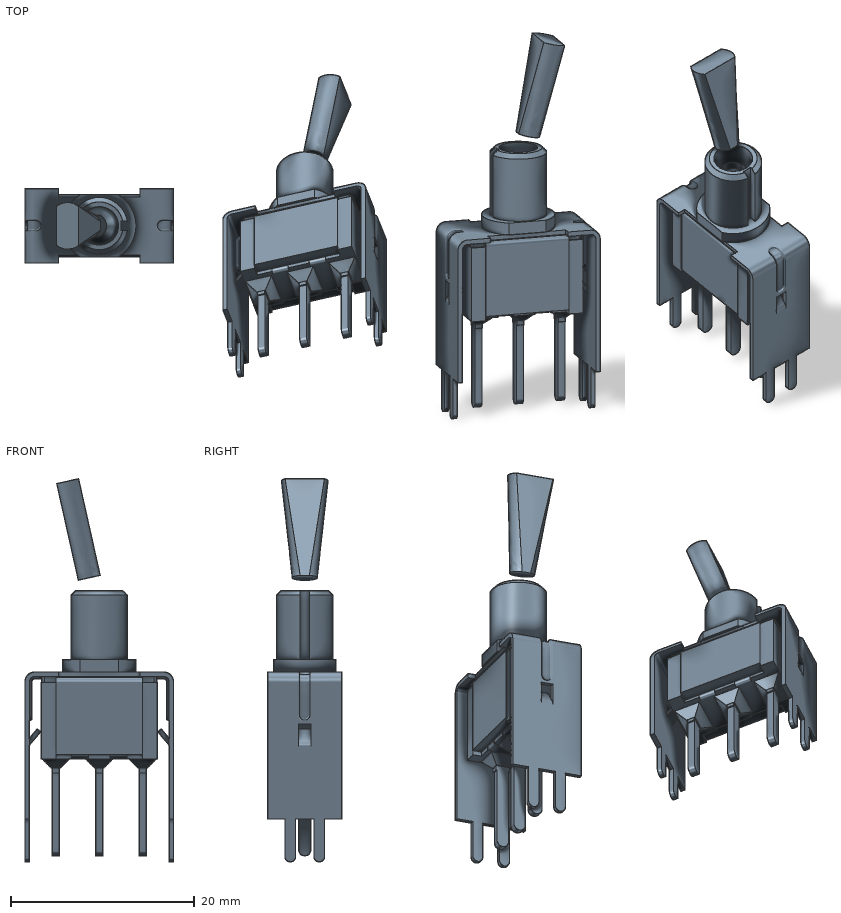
import cadquery as cq
import math


bracket_length = 16.26
bracket_width = 8.13
sheet = 0.5
bend_radius = 1.1
leg_bottom = -16.1
notch_length = 8.9
bridge_width = 6.35

solder_leg_width = 1.2
solder_leg_pitch = 3.17
solder_leg_bottom = -20.77

bead_depth = 0.27
bead_width = 1.14
bead_bottom = -5.28
bead_reach = 1.78
bead_edge_round = 0.13

tang_width = 1.35
window_top = -5.69
tang_bend_bottom = -8.09
tang_angle = math.radians(40)
tang_inner_radius = 0.2
tang_length = 1.85

case_length = 12.7
case_bottom = -9.5
case_shoulder = -1.16
case_width = 6.7
panel_length = 9.5
panel_width = 6.86
panel_bottom = -9.0
panel_round = 0.65
cap_length = 12.6
cap_width = 6.2
cap_chamfer = 0.3
base_recess_depth = 1.0
base_round_start = 1.2
base_round_end = 3.05
base_edge_radius = 0.45

terminal_pitch = 4.75
terminal_thickness = 0.8
terminal_width = 1.35
terminal_bottom = -20.1
collar_width = 1.6
collar_bottom = -11.03
seal_bottom = -10.5
seal_thickness = 1.0
seal_flare = 1.0

flange_diameter = 8.0
flange_width = 6.8
flange_height = 1.35
bushing_diameter = 6.22
bushing_top = 8.88
bushing_chamfer = 0.5
bore_diameter = 4.2
keyway_width = 1.0
keyway_floor = 2.35

pivot_height = 5.4
bore_floor_above_pivot = 0.5
socket_diameter = 2.4
socket_floor_above_pivot = 0.9

lever_tilt = 12.6
lever_start = 5.0
lever_length = 10.83
lever_thickness = 2.46
lever_foot_flat = 1.0
lever_foot_width = 2.75
lever_tip_flat = 4.3
lever_tip_width = 5.1


def box(x_min, x_max, width, z_min, z_max):
    """Block centred on Y = 0."""
    size_x = x_max - x_min
    return (
        cq.Workplane("XY", origin=((x_min + x_max) / 2, 0, z_min))
        .rect(size_x, width)
        .extrude(z_max - z_min)
    )


def both_ends(shape):
    """The shape and its mirror image across X = 0."""
    return shape.union(shape.mirror("YZ"))


def bent_block(inset, width):
    """Solid block with the bracket's outer bends, offset inward by inset."""
    half_length = bracket_length / 2 - inset
    block = box(-half_length, half_length, width, leg_bottom, -inset)
    return block.edges("|Y and >Z").fillet(bend_radius - inset)


def bent_layer(outer_inset, inner_inset, width):
    """Sheet between two inward offsets of the bracket's outer surface."""
    return bent_block(outer_inset, width).cut(bent_block(inner_inset, width))


def bead_region():
    """Space that holds the left bead: a slot down the leg joined to a slot along the top."""
    radius = bead_width / 2
    left = -bracket_length / 2
    leg_end = bead_bottom + radius
    top_end = left + bead_reach - radius
    leg_slot = box(left, left + bend_radius, bead_width, leg_end, 0)
    leg_round = cq.Workplane("YZ", origin=(left, 0, leg_end)).circle(radius).extrude(bend_radius)
    top_slot = box(left, top_end, bead_width, -bend_radius, 0)
    top_round = cq.Workplane("XY", origin=(top_end, 0, -bend_radius)).circle(radius).extrude(bend_radius)
    return leg_slot.union(leg_round).union(top_slot).union(top_round)


def make_tang():
    """Left tang: bends inward from the leg at the foot of its window, then runs straight up."""
    outer_radius = tang_inner_radius + sheet
    center_x = -bracket_length / 2 + outer_radius
    along = (math.sin(tang_angle), math.cos(tang_angle))

    def on_bend(radius, angle):
        return (center_x - radius * math.cos(angle), tang_bend_bottom + radius * math.sin(angle))

    def along_tang(point):
        return (point[0] + tang_length * along[0], point[1] + tang_length * along[1])

    outer_bend_end = on_bend(outer_radius, tang_angle)
    inner_bend_end = on_bend(tang_inner_radius, tang_angle)
    return (
        cq.Workplane("XZ", origin=(0, tang_width / 2, 0))
        .moveTo(*on_bend(outer_radius, 0))
        .threePointArc(on_bend(outer_radius, tang_angle / 2), outer_bend_end)
        .lineTo(*along_tang(outer_bend_end))
        .lineTo(*along_tang(inner_bend_end))
        .lineTo(*inner_bend_end)
        .threePointArc(on_bend(tang_inner_radius, tang_angle / 2), on_bend(tang_inner_radius, 0))
        .close()
        .extrude(tang_width)
    )


def make_solder_leg(y):
    """Round-ended solder leg below the left bracket leg."""
    left = -bracket_length / 2
    radius = solder_leg_width / 2
    round_center = solder_leg_bottom + radius
    shank = box(left, left + sheet, solder_leg_width, round_center, leg_bottom)
    tip = cq.Workplane("YZ", origin=(left, 0, round_center)).circle(radius).extrude(sheet)
    return shank.union(tip).translate((0, y, 0))


def make_bracket():
    left = -bracket_length / 2
    body = bent_layer(0, sheet, bracket_width)

    strip = box(-notch_length / 2, notch_length / 2, bracket_width, -sheet, 0)
    bridge = box(-notch_length / 2, notch_length / 2, bridge_width, -sheet, 0)
    body = body.cut(strip.cut(bridge))

    bump = bent_layer(sheet, sheet + bead_depth, bracket_width).intersect(bead_region())
    recess = bent_layer(0, bead_depth, bracket_width).intersect(bead_region())
    body = body.union(both_ends(bump)).cut(both_ends(recess))
    bead_foot_zone = cq.selectors.BoxSelector(
        (-bracket_length, -bead_width, bead_bottom - bead_width),
        (bracket_length, bead_width, bead_bottom + bead_width),
        boundingbox=True,
    )
    body = body.edges("%CIRCLE").edges(bead_foot_zone).fillet(bead_edge_round)

    window = box(left, left + sheet, tang_width, tang_bend_bottom, window_top)
    body = body.cut(both_ends(window)).union(both_ends(make_tang()))

    for side in (-1, 1):
        body = body.union(both_ends(make_solder_leg(side * solder_leg_pitch / 2)))
    return body


def make_case():
    column_block = box(-case_length / 2, case_length / 2, case_width, case_bottom, case_shoulder)
    cap = box(-cap_length / 2, cap_length / 2, cap_width, case_shoulder, -sheet)
    cap = cap.edges("|Z").chamfer(cap_chamfer)

    middle = box(-panel_length / 2, panel_length / 2, case_width, case_bottom, panel_bottom)
    base_width = case_width - 2 * base_recess_depth
    base = box(-panel_length / 2, panel_length / 2, base_width, case_bottom, panel_bottom)
    for start in (base_round_start, -base_round_end):
        end = start + base_round_end - base_round_start
        straight = box(start, end, base_width, case_bottom, panel_bottom)
        rounded = straight.edges("|X and <Z").fillet(base_edge_radius)
        base = base.cut(straight).union(rounded)

    panel = box(-panel_length / 2, panel_length / 2, panel_width, panel_bottom, -sheet)
    panel = panel.edges("|X and >Z").fillet(panel_round)
    return column_block.cut(middle).union(base).union(cap).union(panel)


def make_terminal(x):
    """Terminal blade with a flared seal where it leaves the case."""
    radius = terminal_width / 2
    round_center = terminal_bottom + radius
    half = terminal_thickness / 2
    blade = box(-half, half, terminal_width, round_center, case_bottom)
    tip = cq.Workplane("YZ", origin=(-half, 0, round_center)).circle(radius).extrude(terminal_thickness)
    collar = box(-half, half, collar_width, collar_bottom, case_bottom)
    seal = (
        cq.Workplane("XY", origin=(0, 0, seal_bottom))
        .rect(seal_thickness, collar_width)
        .workplane(offset=case_bottom - seal_bottom)
        .rect(seal_thickness + 2 * seal_flare, collar_width + 2 * seal_flare)
        .loft(ruled=True, combine=True)
    )
    return blade.union(tip).union(collar).union(seal).translate((x, 0, 0))


def make_bushing():
    flange = cq.Workplane("XY").circle(flange_diameter / 2).extrude(flange_height)
    flange = flange.intersect(box(-flange_diameter / 2, flange_diameter / 2, flange_width, 0, flange_height))
    barrel = cq.Workplane("XY").circle(bushing_diameter / 2).extrude(bushing_top)
    barrel = barrel.faces(">Z").edges().chamfer(bushing_chamfer)

    bore_floor = pivot_height + bore_floor_above_pivot
    bore = (
        cq.Workplane("XY", origin=(0, 0, bore_floor))
        .circle(bore_diameter / 2)
        .extrude(bushing_top - bore_floor)
    )
    keyway = box(keyway_floor, bushing_diameter / 2, keyway_width, flange_height, bushing_top)

    ball = cq.Workplane("XY", origin=(0, 0, pivot_height)).sphere(bore_diameter / 2)
    socket = (
        cq.Workplane("XY", origin=(0, 0, socket_floor_above_pivot))
        .circle(socket_diameter / 2)
        .extrude(bore_diameter / 2)
    )
    return flange.union(barrel).cut(bore).cut(keyway).union(ball).cut(tilt(socket))


def tilt(shape):
    """Lean a shape drawn about the pivot toward -X and lift it to the pivot height."""
    return shape.rotate((0, 0, 0), (0, 1, 0), -lever_tilt).translate((0, 0, pivot_height))


def make_switch_body():
    body = make_case().union(make_bracket()).union(make_bushing())
    for index in (-1, 0, 1):
        body = body.union(make_terminal(index * terminal_pitch))
    return body


def lever_outline(plane, flat, width):
    """Cross-section with two flat faces joined by bulging arcs."""
    half_thickness = lever_thickness / 2
    return (
        plane.moveTo(-half_thickness, -flat / 2)
        .threePointArc((0, -width / 2), (half_thickness, -flat / 2))
        .lineTo(half_thickness, flat / 2)
        .threePointArc((0, width / 2), (-half_thickness, flat / 2))
        .close()
    )


def make_lever():
    foot = lever_outline(cq.Workplane("XY", origin=(0, 0, lever_start)), lever_foot_flat, lever_foot_width)
    tip_plane = foot.workplane(offset=lever_length)
    return tilt(lever_outline(tip_plane, lever_tip_flat, lever_tip_width).loft(ruled=True, combine=True))


switch_body = make_switch_body()
lever = make_lever()
result = cq.Compound.makeCompound([switch_body.val(), lever.val()])